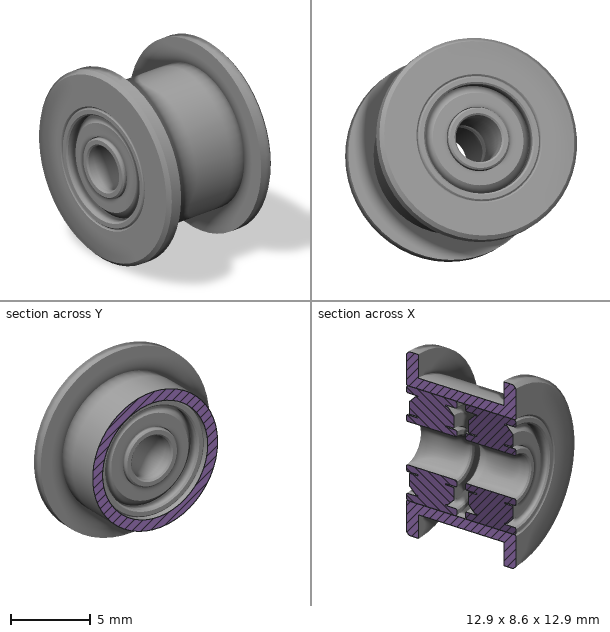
import cadquery as cq

flange_diameter = 12.9
pulley_width = 8.6
flange_thickness = 1.0
flange_chamfer = 0.25
drum_diameter = 9.6
bearing_seat_diameter = 8.0
seat_chamfer = 0.1

bearing_width = 4.0
bearing_bore_diameter = 3.0
inner_ring_diameter = 4.0
outer_ring_bore_diameter = 7.0
ring_edge_chamfer = seat_chamfer

shield_inner_diameter = 4.1
shield_outer_diameter = 6.9
shield_face_diameter = 5.91
shield_face_depth = 0.26
shield_rim_depth = shield_face_depth + (shield_outer_diameter - shield_face_diameter) / 2
groove_depth = 0.9

flange_radius = flange_diameter / 2
drum_radius = drum_diameter / 2
half_width = pulley_width / 2


def make_pulley():
    """Revolve the flanged drum and break its outer and bore edges."""
    flange_inner_y = half_width - flange_thickness
    chamfer_y = half_width - flange_chamfer
    seat_radius = bearing_seat_diameter / 2
    seat_mouth_radius = seat_radius + seat_chamfer
    seat_chamfer_y = half_width - seat_chamfer
    upper_half = [
        (drum_radius, flange_inner_y),
        (flange_radius, flange_inner_y),
        (flange_radius, chamfer_y),
        (flange_radius - flange_chamfer, half_width),
        (seat_mouth_radius, half_width),
        (seat_radius, seat_chamfer_y),
    ]
    lower_half = [(radius, -y) for radius, y in reversed(upper_half)]
    profile = cq.Workplane("XY").polyline(upper_half + lower_half).close()
    return profile.revolve(360, (0, 0, 0), (0, 1, 0))


def bearing_face_points():
    """Section of one bearing face as (radius, depth), from the bore outward."""
    bore_radius = bearing_bore_diameter / 2
    inner_ring_radius = inner_ring_diameter / 2
    shield_inner_radius = shield_inner_diameter / 2
    shield_outer_radius = shield_outer_diameter / 2
    ring_bore_radius = outer_ring_bore_diameter / 2
    bearing_radius = bearing_seat_diameter / 2
    return [
        (bore_radius, ring_edge_chamfer),
        (bore_radius + ring_edge_chamfer, 0),
        (inner_ring_radius - ring_edge_chamfer, 0),
        (inner_ring_radius, ring_edge_chamfer),
        (inner_ring_radius, groove_depth),
        (shield_inner_radius, groove_depth),
        (shield_inner_radius, shield_face_depth),
        (shield_face_diameter / 2, shield_face_depth),
        (shield_outer_radius, shield_rim_depth),
        (shield_outer_radius, groove_depth),
        (ring_bore_radius, groove_depth),
        (ring_bore_radius, ring_edge_chamfer),
        (ring_bore_radius + ring_edge_chamfer, 0),
        (bearing_radius - ring_edge_chamfer, 0),
        (bearing_radius, ring_edge_chamfer),
    ]


def make_bearing(center_y):
    """Revolve a bearing with the same rings and shield on both faces."""
    half_bearing = bearing_width / 2
    face = bearing_face_points()
    front_face = [(radius, center_y - half_bearing + depth) for radius, depth in face]
    back_face = [(radius, center_y + half_bearing - depth) for radius, depth in reversed(face)]
    profile = cq.Workplane("XY").polyline(front_face + back_face).close()
    return profile.revolve(360, (0, 0, 0), (0, 1, 0))


pulley = make_pulley()

bearing_offset = half_width - bearing_width / 2
bearings = []
for side in (-1, 1):
    bearings.append(make_bearing(side * bearing_offset).val())

result = cq.Compound.makeCompound([pulley.val(), *bearings])